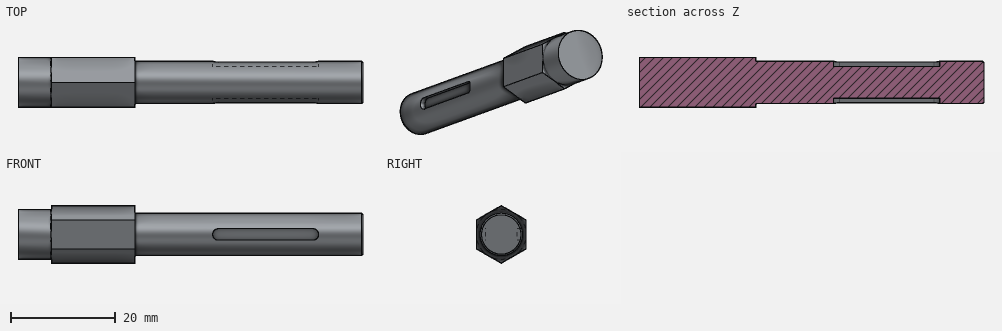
import cadquery as cq
import math

total_length = 65.74

head_diameter = 9.52
head_length = 6.35

across_flats = 9.53
hex_length = 15.88

shank_diameter = 8.1
tip_chamfer = 0.3

root_fillet = 0.2

slot_length = 20.2
slot_width = 2.2
slot_depth = 1.0
slot_end_to_tip = 8.5

shank_start = head_length + hex_length
slot_center_x = total_length - slot_end_to_tip - slot_length / 2
across_corners = across_flats / math.cos(math.radians(30))
blank_clearance = 0.2
collar_diameter = across_corners + blank_clearance


def make_turned_blank():
    """Head, oversize round collar and shank, revolved about the X axis."""
    head_radius = head_diameter / 2
    collar_radius = collar_diameter / 2
    shank_radius = shank_diameter / 2
    return (
        cq.Workplane("XZ")
        .moveTo(0, 0)
        .lineTo(0, head_radius)
        .lineTo(head_length - root_fillet, head_radius)
        .radiusArc((head_length, head_radius + root_fillet), -root_fillet)
        .lineTo(head_length, collar_radius)
        .lineTo(shank_start, collar_radius)
        .lineTo(shank_start, shank_radius + root_fillet)
        .radiusArc((shank_start + root_fillet, shank_radius), -root_fillet)
        .lineTo(total_length - tip_chamfer, shank_radius)
        .lineTo(total_length, shank_radius - tip_chamfer)
        .lineTo(total_length, 0)
        .close()
        .revolve(360, (0, 0, 0), (1, 0, 0))
    )


def make_hex_envelope():
    """Full-length hexagonal bar; only the collar and the head fillet reach outside it."""
    return cq.Workplane("YZ").polygon(6, across_flats, circumscribed=True).extrude(total_length)


def make_slot_cutter(side):
    """Round-ended cutter whose floor lies slot_depth below the shank surface; side is +1 or -1."""
    floor_y = side * (shank_diameter / 2 - slot_depth)
    return (
        cq.Workplane("XZ", origin=(slot_center_x, floor_y, 0))
        .slot2D(slot_length, slot_width)
        .extrude(-side * shank_diameter)
    )


result = make_turned_blank().intersect(make_hex_envelope())
for side in (-1, 1):
    result = result.cut(make_slot_cutter(side))